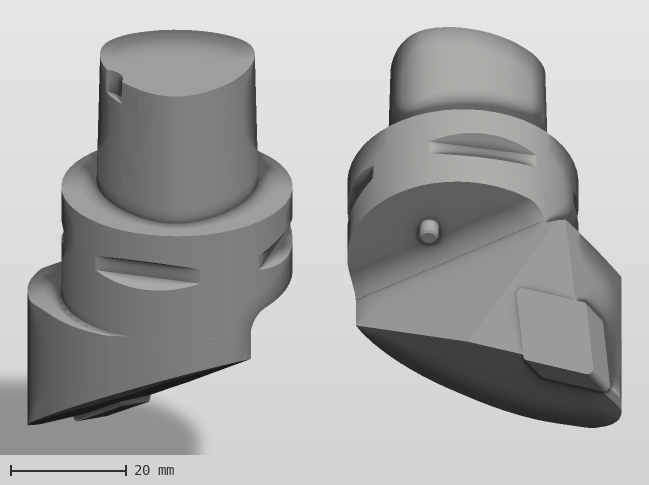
import cadquery as cq
import math


SHANK_HEIGHT = 24.0
SHANK_BASE_RADIUS = 14.0
SHANK_TAPER = 1 / 40
LOBE_COUNT = 3
LOBE_HEIGHT = 0.9
LOBE_HALF_ANGLE = 27
CURVE_STEPS = 6
KEYWAY_RADIUS = 3.9
KEYWAY_CENTRE_Y = -15.0
KEYWAY_DEPTH = 4.2

FLANGE_RADIUS = 40.0 / 2
FLANGE_HEIGHT = 20.1
GROOVE_COUNT = 4
GROOVE_Z = -7.9
GROOVE_FLOOR_HEIGHT = 2.7
GROOVE_FLOOR_DISTANCE = 17.6
GROOVE_WALL_ANGLE = 30

SHOULDER_FILLET = 0.7
SHOULDER_RADIUS = 31.6
SHOULDER_ANGLE = 15
HEAD_FRONT_Y = -22.4
HEAD_BACK_Y = 3.95
HEAD_CORNER_ARC = ((-26.1, -8.6), (-20.3, -17.85), (-14.15, -21.5))
HEAD_BLEND_MIDDLE = (-12.2, -22.2)
FRONT_FLAT_LEFT_X = -10.0
FRONT_FLAT_RIGHT_X = -4.2
RIGHT_ARC_END = (9.0, -18.25)
FLANGE_JOIN = (11.6, -16.3)
HEAD_DEPTH = 63.2
BASE_RIGHT_Z = -25.4
BASE_ANGLE = 31.6
SIDE_TOP_X = -23.8
SIDE_TOP_Z = -21.9
SIDE_ANGLE = 2.6
NOSE_Z = -52.0
NOSE_ANGLE = 20

RELIEF_EDGE_Z = -15.95
RELIEF_SLOPE = 5
RELIEF_FILLET = 3.8

NOZZLE_DIAMETER = 3.3
NOZZLE_Y = 10.7
NOZZLE_END_Z = -19.7
NOZZLE_LENGTH = 4.75
NOZZLE_CHAMFER = 0.4

INSERT_TIP = (-27.25, 0.0, -55.8)
INSERT_SIDE = 15.6
INSERT_THICKNESS = 6.3
INSERT_TILT = 0.11
INSERT_CORNER_RADIUS = 0.95
INSERT_STANDOUT = 0.4

REACH = 79


def rotated(x, y, degrees):
    """Turn a plane vector by an angle."""
    c, s = math.cos(math.radians(degrees)), math.sin(math.radians(degrees))
    return (x * c - y * s, x * s + y * c)


def shank_point(radius, z, degrees):
    """Point of the lobed section whose outward normal is turned by degrees from the +Y lobe."""
    t = math.radians(degrees)
    along_lobe = radius * math.cos(t) + LOBE_HEIGHT * (2 * math.cos(2 * t) - math.cos(4 * t))
    across_lobe = radius * math.sin(t) - LOBE_HEIGHT * (2 * math.sin(2 * t) + math.sin(4 * t))
    return cq.Vector(-across_lobe, along_lobe, z)


def shank_curve(radius, z, start, end):
    """Stretch of the section between two normal directions, tangent to its neighbours."""
    step = (end - start) / CURVE_STEPS
    points = [shank_point(radius, z, start + i * step) for i in range(CURVE_STEPS + 1)]
    tangents = []
    for angle in (start, end):
        t = math.radians(angle)
        tangents.append(cq.Vector(-math.cos(t), -math.sin(t), 0))
    return cq.Edge.makeSpline(points, tangents=tangents)


def shank_section(z):
    """Constant-width section: three lobe tips joined by three flatter flanks."""
    radius = SHANK_BASE_RADIUS - SHANK_TAPER * z
    pitch = 360 / LOBE_COUNT
    edges = []
    for i in range(LOBE_COUNT):
        lobe = i * pitch
        flank_start = lobe + LOBE_HALF_ANGLE
        flank_end = lobe + pitch - LOBE_HALF_ANGLE
        edges.append(shank_curve(radius, z, lobe - LOBE_HALF_ANGLE, flank_start))
        edges.append(shank_curve(radius, z, flank_start, flank_end))
    return cq.Wire.assembleEdges(edges)


def make_shank():
    sections = [shank_section(0), shank_section(SHANK_HEIGHT)]
    shank = cq.Workplane(cq.Solid.makeLoft(sections, True))
    keyway = (
        cq.Workplane("XY", origin=(0, KEYWAY_CENTRE_Y, SHANK_HEIGHT))
        .circle(KEYWAY_RADIUS)
        .extrude(-KEYWAY_DEPTH)
    )
    return shank.cut(keyway)


def make_groove(angle):
    """Straight groove with flared walls, cut across the flange rim."""
    depth = FLANGE_RADIUS - GROOVE_FLOOR_DISTANCE
    floor = GROOVE_FLOOR_HEIGHT / 2
    mouth = floor + depth * math.tan(math.radians(GROOVE_WALL_ANGLE))
    return (
        cq.Workplane("XZ", origin=(0, 0, GROOVE_Z))
        .polyline([
            (GROOVE_FLOOR_DISTANCE, -floor),
            (FLANGE_RADIUS, -mouth),
            (FLANGE_RADIUS, mouth),
            (GROOVE_FLOOR_DISTANCE, floor),
        ])
        .close()
        .extrude(FLANGE_RADIUS, both=True)
        .rotate((0, 0, 0), (0, 0, 1), angle)
    )


def make_flange():
    flange = cq.Workplane("XY").circle(FLANGE_RADIUS).extrude(-FLANGE_HEIGHT)
    step = 360 / GROOVE_COUNT
    for i in range(GROOVE_COUNT):
        flange = flange.cut(make_groove(step * (i + 0.5)))
    return flange


def make_head_blank():
    """Wide turned blank: a concave fillet under the flange, then a conical shoulder."""
    fillet_end = FLANGE_RADIUS + SHOULDER_FILLET
    fillet_z = -FLANGE_HEIGHT - SHOULDER_FILLET
    fillet_inset = SHOULDER_FILLET * (1 - math.sqrt(0.5))
    drop = (SHOULDER_RADIUS - fillet_end) * math.tan(math.radians(SHOULDER_ANGLE))
    return (
        cq.Workplane("XZ")
        .moveTo(0, -FLANGE_HEIGHT)
        .lineTo(FLANGE_RADIUS, -FLANGE_HEIGHT)
        .threePointArc((FLANGE_RADIUS + fillet_inset, fillet_z + fillet_inset), (fillet_end, fillet_z))
        .lineTo(SHOULDER_RADIUS, fillet_z - drop)
        .lineTo(SHOULDER_RADIUS, -HEAD_DEPTH)
        .lineTo(0, -HEAD_DEPTH)
        .close()
        .revolve(360, (0, 0, 0), (0, 1, 0))
    )


def make_head_outline():
    """Outline of the head in plan, as a vertical prism bulging towards -X and -Y."""
    flange_back_x = math.sqrt(FLANGE_RADIUS**2 - HEAD_BACK_Y**2)
    corner_start, corner_middle, corner_end = HEAD_CORNER_ARC
    return (
        cq.Workplane("XY")
        .moveTo(corner_start[0], HEAD_BACK_Y)
        .lineTo(*corner_start)
        .threePointArc(corner_middle, corner_end)
        .threePointArc(HEAD_BLEND_MIDDLE, (FRONT_FLAT_LEFT_X, HEAD_FRONT_Y))
        .lineTo(FRONT_FLAT_RIGHT_X, HEAD_FRONT_Y)
        .tangentArcPoint(RIGHT_ARC_END, relative=False)
        .lineTo(*FLANGE_JOIN)
        .threePointArc((FLANGE_RADIUS, 0), (flange_back_x, HEAD_BACK_Y))
        .close()
        .extrude(-HEAD_DEPTH)
    )


def half_space(point, degrees):
    """Block spanning Y whose upper face passes through (x, z), inclined to the X axis."""
    return (
        cq.Workplane("XY")
        .box(2 * REACH, 2 * REACH, REACH, centered=(True, True, False))
        .translate((0, 0, -REACH))
        .rotate((0, 0, 0), (0, 1, 0), -degrees)
        .translate((point[0], 0, point[1]))
    )


def rake_plane(offset=0):
    """Plane of the insert's rake face, sunk by offset; its normal points into the insert."""
    normal = cq.Vector(INSERT_TILT, -1, INSERT_TILT).normalized()
    origin = cq.Vector(*INSERT_TIP) + normal * offset
    return cq.Plane(origin=origin, xDir=(1, INSERT_TILT, 0), normal=normal)


def make_head():
    head = make_head_blank().intersect(make_head_outline())

    nose_x = SIDE_TOP_X + (NOSE_Z - SIDE_TOP_Z) * math.tan(math.radians(SIDE_ANGLE))
    head = head.cut(half_space((FLANGE_RADIUS, BASE_RIGHT_Z), BASE_ANGLE))
    head = head.cut(half_space((SIDE_TOP_X, SIDE_TOP_Z), -90 - SIDE_ANGLE))
    head = head.cut(half_space((nose_x, NOSE_Z), -NOSE_ANGLE))

    land = cq.Workplane(rake_plane(INSERT_STANDOUT)).rect(2 * REACH, 2 * REACH).extrude(-REACH)
    return head.cut(land)


def make_relief():
    """Space behind the head and under the rear of the flange, with a rounded inner corner."""
    rise = math.tan(math.radians(RELIEF_SLOPE))
    corner_z = RELIEF_EDGE_Z - (FLANGE_RADIUS - HEAD_BACK_Y) * rise
    far_y = HEAD_BACK_Y + REACH
    return (
        cq.Workplane("YZ")
        .polyline([
            (HEAD_BACK_Y, -REACH),
            (HEAD_BACK_Y, corner_z),
            (far_y, corner_z + REACH * rise),
            (far_y, -REACH),
        ])
        .close()
        .extrude(REACH, both=True)
        .edges(cq.selectors.NearestToPointSelector((0, HEAD_BACK_Y, corner_z)))
        .fillet(RELIEF_FILLET)
    )


def make_nozzle():
    """Chamfered round nozzle standing square to the sloping underside of the flange."""
    return (
        cq.Workplane("XY")
        .circle(NOZZLE_DIAMETER / 2)
        .extrude(NOZZLE_LENGTH)
        .faces("<Z")
        .chamfer(NOZZLE_CHAMFER)
        .rotate((0, 0, 0), (1, 0, 0), RELIEF_SLOPE)
        .translate((0, NOZZLE_Y, NOZZLE_END_Z))
    )


def make_insert():
    base = rotated(INSERT_SIDE, 0, BASE_ANGLE)
    side = rotated(0, INSERT_SIDE, -SIDE_ANGLE)
    return (
        cq.Workplane(rake_plane())
        .polyline([(0, 0), base, (base[0] + side[0], base[1] + side[1]), side])
        .close()
        .extrude(INSERT_THICKNESS)
        .edges(cq.selectors.ParallelDirSelector(rake_plane().zDir))
        .fillet(INSERT_CORNER_RADIUS)
    )


insert = make_insert()
holder = make_flange().union(make_head()).cut(make_relief())
holder = holder.union(make_shank()).union(make_nozzle()).cut(insert)

result = cq.Compound.makeCompound([holder.solids().val(), insert.solids().val()])